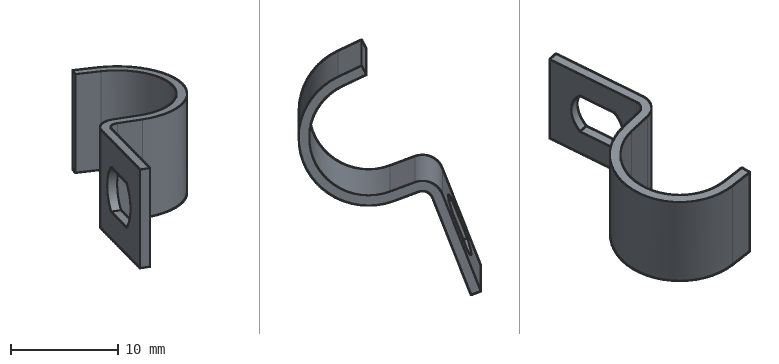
import cadquery as cq
import math

length = 24.2
height = 10.98
width = 10.0
thickness = 1.0
loop_radius = 6.5
bend_radius = 1.0
lip_angle = math.radians(5.0)
lip_length = 2.47
hole_diameter = 6.0
hole_flat_gap = 4.5
hole_end_distance = 5.5

inner_radius = loop_radius - thickness
outer_bend_radius = bend_radius + thickness
lip_cos = math.cos(lip_angle)
lip_sin = math.sin(lip_angle)
lip_end_x = -loop_radius * lip_cos - lip_length * lip_sin
foot_end_x = lip_end_x + length
foot_bottom_y = loop_radius - height
foot_top_y = foot_bottom_y + thickness
bend_x = loop_radius + bend_radius
bend_y = foot_top_y + bend_radius


def lip_point(radius, distance):
    """Point on the lip, at a distance from where it leaves the loop."""
    return (
        -radius * lip_cos - distance * lip_sin,
        radius * lip_sin - distance * lip_cos,
    )


def bend_middle(radius):
    """Middle point of the quarter bend between wall and foot."""
    offset = radius * math.sqrt(0.5)
    return (bend_x - offset, bend_y - offset)


def make_strip():
    """Bent strip: lip, loop, straight wall, bend and flat foot."""
    profile = (
        cq.Workplane("XY")
        .moveTo(*lip_point(loop_radius, lip_length))
        .lineTo(*lip_point(loop_radius, 0))
        .threePointArc((0, loop_radius), (loop_radius, 0))
        .lineTo(loop_radius, bend_y)
        .threePointArc(bend_middle(bend_radius), (bend_x, foot_top_y))
        .lineTo(foot_end_x, foot_top_y)
        .lineTo(foot_end_x, foot_bottom_y)
        .lineTo(bend_x, foot_bottom_y)
        .threePointArc(bend_middle(outer_bend_radius), (inner_radius, bend_y))
        .lineTo(inner_radius, 0)
        .threePointArc((0, inner_radius), lip_point(inner_radius, 0))
        .lineTo(*lip_point(inner_radius, lip_length))
        .close()
    )
    return profile.extrude(width)


def make_hole_cutter():
    """Round cutter with two flats, passing through the foot along Y."""
    depth = 3 * thickness
    center = (foot_end_x - hole_end_distance, foot_bottom_y - thickness, width / 2)
    plane = cq.Plane(origin=center, xDir=(1, 0, 0), normal=(0, 1, 0))
    round_cutter = cq.Workplane(plane).circle(hole_diameter / 2).extrude(depth)
    flat_limits = cq.Workplane(plane).rect(hole_diameter, hole_flat_gap).extrude(depth)
    return round_cutter.intersect(flat_limits)


result = make_strip().cut(make_hole_cutter())